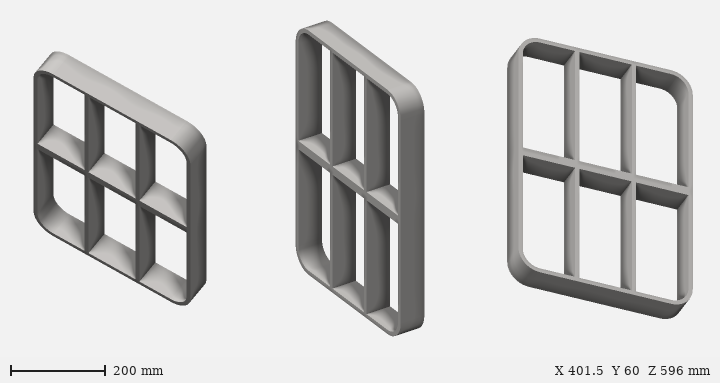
import cadquery as cq

width = 401.5
depth = 60.0
height = 596.0
corner_radius = 50.0

rim = 10.0
upright = 10.0
crossbar = 20.0

columns = 3
rows = 2
inner_width = width - 2 * rim
inner_height = height - 2 * rim
window_width = (inner_width - (columns - 1) * upright) / columns
window_height = (inner_height - (rows - 1) * crossbar) / rows


def rounded_block(block_width, block_height, radius):
    """Block centred on the origin, with its four edges along Y rounded."""
    return cq.Workplane("XY").box(block_width, depth, block_height).edges("|Y").fillet(radius)


def make_rim():
    """Outer ring of constant thickness, open from front to back."""
    outside = rounded_block(width, height, corner_radius)
    opening = rounded_block(inner_width, inner_height, corner_radius - rim)
    return outside.cut(opening)


def add_uprights(body):
    """Vertical bars between neighbouring columns of windows."""
    pitch = window_width + upright
    for index in range(1, columns):
        x = (index - columns / 2) * pitch
        bar = cq.Workplane("XY").box(upright, depth, height - rim).translate((x, 0, 0))
        body = body.union(bar)
    return body


def add_crossbars(body):
    """Horizontal bars between neighbouring rows of windows."""
    pitch = window_height + crossbar
    for index in range(1, rows):
        z = (index - rows / 2) * pitch
        bar = cq.Workplane("XY").box(width - rim, depth, crossbar).translate((0, 0, z))
        body = body.union(bar)
    return body


result = add_crossbars(add_uprights(make_rim())).clean()